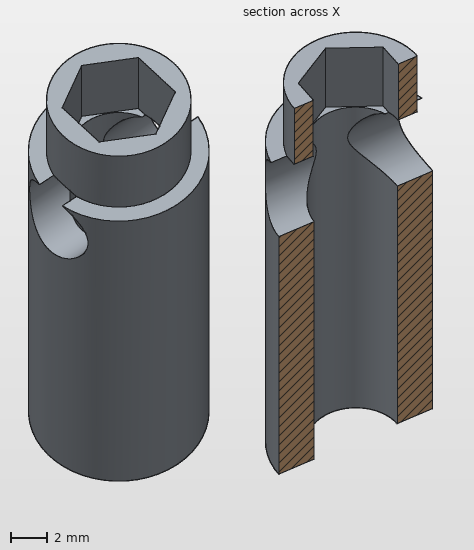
import cadquery as cq
import math

total_height = 27.5
body_diameter = 10.0
neck_diameter = 8.0
neck_height = 4.5
bore_diameter = 5.4
hex_across_flats = 5.5
hex_depth = 4.5
cross_hole_diameter = 5.0
cross_hole_height = 20.7

shoulder_height = total_height - neck_height
hex_across_corners = hex_across_flats / math.cos(math.radians(30))


def make_sleeve():
    """Round body with a narrower neck on top."""
    body = cq.Workplane("XY").circle(body_diameter / 2).extrude(shoulder_height)
    return body.faces(">Z").workplane().circle(neck_diameter / 2).extrude(neck_height)


def make_bore():
    """Round passage along the full height."""
    return cq.Workplane("XY").circle(bore_diameter / 2).extrude(total_height)


def make_hex_socket():
    """Hexagonal recess in the neck, with two corners on the X axis."""
    socket_floor = cq.Workplane("XY").workplane(offset=total_height - hex_depth)
    return socket_floor.polygon(6, hex_across_corners).extrude(hex_depth)


def make_cross_hole():
    """Round hole along Y through both walls; it breaks into the shoulder."""
    hole = cq.Workplane("XZ").center(0, cross_hole_height).circle(cross_hole_diameter / 2)
    return hole.extrude(body_diameter / 2, both=True)


result = (
    make_sleeve()
    .cut(make_bore())
    .cut(make_hex_socket())
    .cut(make_cross_hole())
)